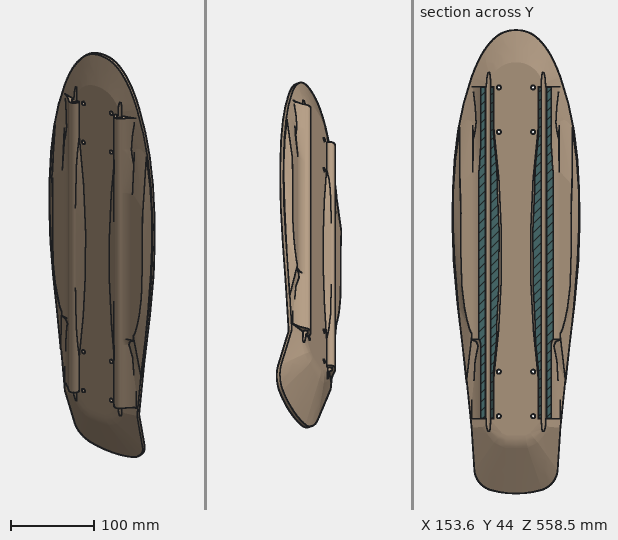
import cadquery as cq

length = 558.5
half_width = 76.8
rim_thickness = 4.5
base_y = -12.0
widest_z = 324.0

bend_z = 79.5
bend_half_width = 53.5
tail_rise = 24.5
tail_slope = tail_rise / bend_z
tail_bend_radius = 33.5

rail_x = 33.5
rail_bottom_z = 90.5
rail_top_z = 490.0
rail_mid_z = (rail_bottom_z + rail_top_z) / 2
rail_depth = 19.5
rail_radius = 6.5
rail_y = rail_radius - rail_depth
bore_diameter = 6.0
flank_outer_x = 53.0
flank_inner_x = 40.0
flank_low_y = -5.5
flank_inner_y = -15.5
flank_hollow = 1.0
web_half_length = 156.5
web_toe_x = 17.5

pod_top_z = 387.5
pod_bottom_z = 186.0
pod_ramp_top_z = rail_top_z
flank_ramp_top_z = 447.0
flank_ramp_bottom_z = 177.5
pod_ramp_bottom_z = 139.5
pod_inner_top_x = 52.0
pod_edge_x = 67.5

mount_diameter = 4.75
mount_x = 20.5
mount_pitch = 53.5
mount_low_z = 93.5
mount_high_z = 435.5


def under_rim(x, z):
    """Point on the lower face of the rim, which bends up along the tail."""
    return cq.Vector(x, -rim_thickness + tail_slope * max(bend_z - z, 0), z)


def on_base(x, z):
    return cq.Vector(x, base_y, z)


def line(start, end):
    return cq.Edge.makeLine(start, end)


def mirrored(shapes):
    return [shape.mirror("YZ") for shape in shapes]


def half_deck_edges():
    """Edges on the +X side, nose to tail: rim on the flat, rim on the tail, underside."""
    rim_nose = under_rim(0, length)
    rim_shoulder = under_rim(53.5, 501.5)
    rim_side = under_rim(half_width, widest_z)
    rim_bend = under_rim(bend_half_width, bend_z)
    shoulder_direction = cq.Vector(0.36, 0, -1)
    downward = cq.Vector(0, 0, -1)
    rim_flat = [
        cq.Edge.makeSpline(
            [rim_nose, under_rim(28.5, 546.5), rim_shoulder], tangents=[cq.Vector(1, 0, 0), shoulder_direction]
        ),
        cq.Edge.makeSpline(
            [rim_shoulder, under_rim(70.5, 434.0), rim_side], tangents=[shoulder_direction, downward]
        ),
        cq.Edge.makeSpline(
            [rim_side, under_rim(67.0, 199.0), rim_bend], tangents=[downward, cq.Vector(-0.08, 0, -1)]
        ),
    ]

    tail_side = under_rim(50.0, 28.0)
    tail_corner = under_rim(31.5, 4.5)
    tail_tip = under_rim(0, 0)
    rim_tail = [
        line(rim_bend, tail_side),
        cq.Edge.makeThreePointArc(tail_side, under_rim(44.5, 14.0), tail_corner),
        cq.Edge.makeThreePointArc(tail_corner, under_rim(16.0, 1.0), tail_tip),
    ]

    base_nose = on_base(0, 519.5)
    base_shoulder = on_base(32.0, 494.5)
    base_side = on_base(33.5, widest_z)
    base_bend = on_base(33.0, 81.0)
    base_corner = on_base(22.5, 67.0)
    base_end = on_base(12.0, 62.0)
    base = [
        cq.Edge.makeThreePointArc(base_nose, on_base(22.5, 511.0), base_shoulder),
        line(base_shoulder, base_side),
        line(base_side, base_bend),
        line(base_bend, base_corner),
        line(base_corner, base_end),
        line(base_end, on_base(0, 62.0)),
    ]
    return rim_flat, rim_tail, base


def planar_face(edges):
    return cq.Face.makeFromWires(cq.Wire.assembleEdges(edges))


def make_deck():
    rim_flat, rim_tail, base = half_deck_edges()
    bend = line(under_rim(-bend_half_width, bend_z), under_rim(bend_half_width, bend_z))
    flat_face = planar_face(rim_flat + [bend] + mirrored(rim_flat)[::-1])
    tail_face = planar_face(rim_tail + mirrored(rim_tail)[::-1] + [bend])
    base_face = planar_face(base + mirrored(base)[::-1])

    sides = [cq.Face.makeRuledSurface(upper, lower) for upper, lower in zip(rim_flat + rim_tail, base)]
    shell = cq.Shell.makeShell([flat_face, tail_face, base_face] + sides + mirrored(sides))
    keel = cq.Workplane(cq.Solid.makeSolid(shell).fix())

    upward = cq.Vector(0, rim_thickness, 0)
    for face in (flat_face, tail_face):
        keel = keel.union(cq.Workplane(cq.Solid.extrudeLinear(face, upward)))
    tail_edges = cq.selectors.BoxSelector((-32.0, base_y - 0.5, 61.5), (32.0, base_y + 0.5, 78))
    return keel.edges(tail_edges).fillet(tail_bend_radius)


def make_tube():
    return (
        cq.Workplane("XY", origin=(rail_x, rail_y, rail_bottom_z))
        .circle(rail_radius)
        .extrude(rail_top_z - rail_bottom_z)
    )


def flank_section(z, outer_y):
    """Hollow flank beside the tube, closed off inside the deck."""
    outer = cq.Vector(flank_outer_x, outer_y, z)
    inner = cq.Vector(flank_inner_x, flank_inner_y, z)
    hollow = cq.Vector((flank_outer_x + flank_inner_x) / 2, (outer_y + flank_inner_y) / 2 + flank_hollow, z)
    inside_tube = cq.Vector(rail_x + 0.7 * rail_radius, rail_y - 0.7 * rail_radius, z)
    tube_root = cq.Vector(rail_x, -rim_thickness / 2, z)
    outer_root = cq.Vector(flank_outer_x, -rim_thickness / 2, z)
    return cq.Wire.assembleEdges([
        cq.Edge.makeThreePointArc(outer, hollow, inner),
        line(inner, inside_tube),
        line(inside_tube, tube_root),
        line(tube_root, outer_root),
        line(outer_root, outer),
    ])


def make_flank():
    stations = [
        (rail_bottom_z, flank_low_y),
        (flank_ramp_bottom_z, flank_low_y),
        (pod_bottom_z, base_y),
        (pod_top_z, base_y),
        (flank_ramp_top_z, flank_low_y),
        (rail_top_z, flank_low_y),
    ]
    sections = [flank_section(z, outer_y) for z, outer_y in stations]
    return cq.Workplane(cq.Solid.makeLoft(sections, True))


def make_web():
    """Sloping web from the tube to the underside, its toe bowed towards the centre line."""
    crest = (rail_x - 0.6 * rail_radius, rail_y - 0.75 * rail_radius)
    end_toe_x = rail_x - 0.9 * rail_radius
    sections = []
    for offset, toe_x in ((-1, end_toe_x), (0, web_toe_x), (1, end_toe_x)):
        z = rail_mid_z + offset * web_half_length
        corners = [(rail_x, base_y), (rail_x, crest[1]), crest, (toe_x, base_y), (toe_x, base_y + 1.5),
                   (rail_x, base_y + 1.5)]
        sections.append(cq.Wire.makePolygon([cq.Vector(x, y, z) for x, y in corners], close=True))
    return cq.Workplane(cq.Solid.makeLoft(sections))


def pod_outline(y, inner_top_z, outer_side, lower_corner, inner_bottom_z):
    """Closed outline in the plane at height y; outer_side runs down the curved outer edge."""
    side = [cq.Vector(x, y, z) for x, z in outer_side]
    inner_top = cq.Vector(pod_inner_top_x, y, inner_top_z)
    outer_top = cq.Vector(flank_outer_x, y, inner_top_z)
    lower_corner = cq.Vector(lower_corner[0], y, lower_corner[1])
    inner_bottom = cq.Vector(flank_inner_x, y, inner_bottom_z)
    return cq.Wire.assembleEdges([
        line(inner_top, outer_top),
        line(outer_top, side[0]),
        cq.Edge.makeSpline(side),
        line(side[-1], lower_corner),
        line(lower_corner, inner_bottom),
        line(inner_bottom, inner_top),
    ])


def make_pod():
    flat_side = [(pod_edge_x, 372.0), (66.5, 282.5), (63.0, 230.5), (56.0, 198.0)]
    foot_side = [(pod_edge_x, 444.0), (74.5, 391.0), (76.0, 324.0), (70.0, 226.0)]
    flat = pod_outline(base_y, pod_top_z, flat_side, (flank_outer_x, 192.0), pod_bottom_z)
    foot = pod_outline(-rim_thickness, pod_ramp_top_z, foot_side, (60.0, 134.0), pod_ramp_bottom_z)
    return cq.Workplane(cq.Solid.makeLoft([flat, foot], True))


def make_bore():
    return (
        cq.Workplane("XY", origin=(rail_x, rail_y, 0))
        .circle(bore_diameter / 2)
        .extrude(length)
    )


def make_mount_holes():
    heights = [mount_low_z, mount_low_z + mount_pitch, mount_high_z, mount_high_z + mount_pitch]
    places = [(mount_x, z) for z in heights]
    return cq.Workplane("XZ").pushPoints(places).circle(mount_diameter / 2).extrude(rail_depth)


half_space = cq.Workplane("XY").box(length, length, 2 * length).translate((length / 2, 0, 0))
half_board = make_deck().intersect(half_space)
for feature in (make_tube(), make_flank(), make_web(), make_pod()):
    half_board = half_board.union(feature)
half_board = half_board.cut(make_bore()).cut(make_mount_holes())

result = half_board.union(half_board.mirror("YZ")).clean()